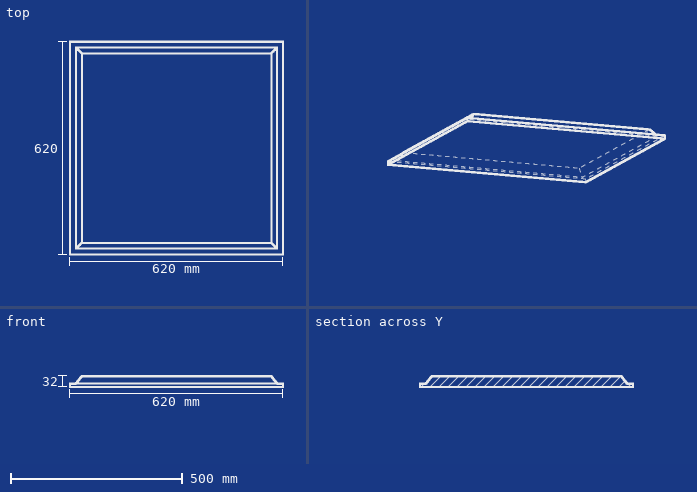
import cadquery as cq

panel_side = 620.0
total_height = 32.0
flange_thickness = 10.0
flange_width = 17.2
slope_run = 17.1

raised_height = total_height - flange_thickness
raised_base_side = panel_side - 2 * flange_width
raised_top_side = raised_base_side - 2 * slope_run


def make_flange():
    """Flat square plate resting on Z = 0, centred on the Z axis."""
    return cq.Workplane("XY").rect(panel_side, panel_side).extrude(flange_thickness)


def make_raised_field():
    """Truncated pyramid standing on the flange, with four flat sloping sides."""
    return (
        cq.Workplane("XY")
        .workplane(offset=flange_thickness)
        .rect(raised_base_side, raised_base_side)
        .workplane(offset=raised_height)
        .rect(raised_top_side, raised_top_side)
        .loft(ruled=True)
    )


result = make_flange().union(make_raised_field())